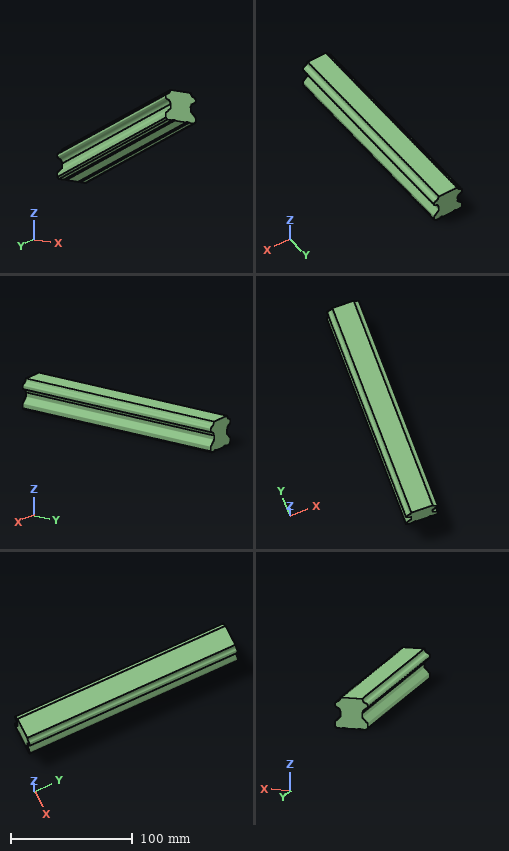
import cadquery as cq
import math

length = 190.0
width = 28.0
height = 26.0
half_width = width / 2

base_chamfer = 1.5
foot_top = 5.5

waist_half_width = 9.3
flank_top = foot_top + (half_width - waist_half_width)

ridge_center_z = 20.0
ridge_half_height = 2.5
ridge_chamfer = 1.3
ridge_flat_half_height = ridge_half_height - ridge_chamfer

race_radius = 3.2
race_center_x = 13.0
race_offset = ridge_half_height + race_radius
race_start_x = half_width - ridge_chamfer
race_end_offset = 5.0
race_reach = math.sqrt(race_radius**2 - (race_offset - race_end_offset) ** 2)
race_end_x = race_center_x - race_reach

land_end_offset = height - ridge_center_z

corner_radius = 0.8

groove_offset = 6.6
groove_width = 1.7
groove_depth = 0.5


def race_point(side, x):
    """Point on the race above (side = 1) or below (side = -1) the ridge."""
    rise = math.sqrt(race_radius**2 - (x - race_center_x) ** 2)
    return (x, ridge_center_z + side * (race_offset - rise))


def half_rail():
    """The +X half of the rail, extruded from the front end along +Y."""
    race_mid_x = race_center_x - race_radius * math.sin(math.pi / 4)
    return (
        cq.Workplane("XZ", origin=(0, -length / 2, 0))
        .moveTo(0, 0)
        .lineTo(half_width - base_chamfer, 0)
        .lineTo(half_width, base_chamfer)
        .lineTo(half_width, foot_top)
        .lineTo(waist_half_width, flank_top)
        .lineTo(waist_half_width, ridge_center_z - land_end_offset)
        .lineTo(*race_point(-1, race_end_x))
        .threePointArc(race_point(-1, race_mid_x), race_point(-1, race_start_x))
        .lineTo(half_width, ridge_center_z - ridge_flat_half_height)
        .lineTo(half_width, ridge_center_z + ridge_flat_half_height)
        .lineTo(*race_point(1, race_start_x))
        .threePointArc(race_point(1, race_mid_x), race_point(1, race_end_x))
        .lineTo(waist_half_width, height)
        .lineTo(0, height)
        .close()
        .extrude(-length)
    )


def rounded_corners(body):
    """Round the long corners of the foot, waist, ridge and race ends."""
    corners = [
        (half_width, foot_top),
        (waist_half_width, flank_top),
        (half_width, ridge_center_z - ridge_flat_half_height),
        (half_width, ridge_center_z + ridge_flat_half_height),
        race_point(-1, race_start_x),
        race_point(1, race_start_x),
        race_point(-1, race_end_x),
        race_point(1, race_end_x),
    ]
    for x, z in corners:
        corner_edge = cq.selectors.NearestToPointSelector((x, 0, z))
        body = body.edges("|Y").edges(corner_edge).fillet(corner_radius)
    return body


def base_grooves():
    """Pair of grooves running the full length of the underside."""
    return (
        cq.Workplane("XY")
        .pushPoints([(-groove_offset, 0), (groove_offset, 0)])
        .box(groove_width, length, 2 * groove_depth)
    )


rail_half = rounded_corners(half_rail())
rail = rail_half.union(rail_half.mirror("YZ")).clean()
result = rail.cut(base_grooves())